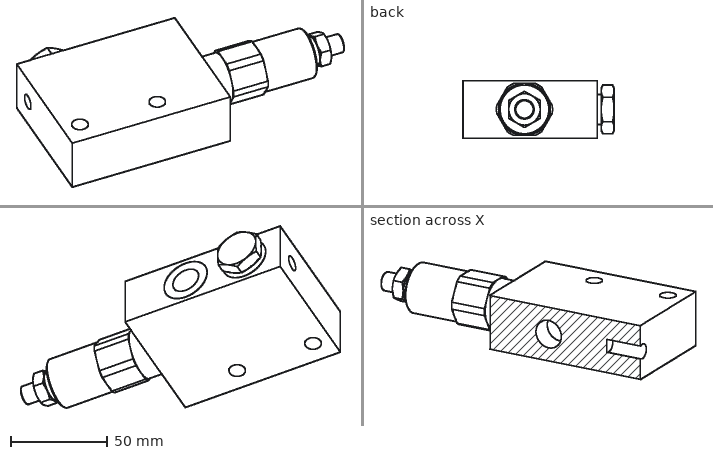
import cadquery as cq
import math

overall_length = 167.7

block_x = 70.0
block_y = 90.2
block_z = 30.0

mount_diameter = 8.5
mount_x = 57.9
mount_y_positions = (9.9, 54.0)

gauge_diameter = 8.0
gauge_x = 14.0
gauge_depth = 20.1

port_diameter = 15.0
port_depth = 23.5
port_y = 55.0
plug_y = 21.0
spotface_diameter = 25.0
spotface_depth = 0.2

plug_reach = 8.7
plug_head_length = 6.7
plug_flats = 22.1
plug_neck_diameter = 15.8
plug_chamfer = 0.8

cartridge_x = 37.9
body_diameter = 27.0
body_chamfer = 0.8
body_end = 58.4
wrench_start = 9.9
wrench_end = 29.5
wrench_flats = 27.0
wrench_round_diameter = 29.2

neck_diameter = 15.0
nut_start = 62.2
nut_end = 68.6
nut_flats = 16.3
nut_chamfer = 0.7
screw_diameter = 10.0
screw_chamfer = 0.5
screw_end = overall_length - block_y


def hexagon(flats, length):
    """Hexagonal prism along +Z with two corners on the local X axis."""
    corners = flats / math.cos(math.pi / 6)
    return cq.Workplane("XY").polygon(6, corners).extrude(length)


def chamfered_hexagon(flats, length, chamfer):
    """Hexagonal prism whose corners are turned down at both ends."""
    radius = flats / math.cos(math.pi / 6) / 2
    envelope = cq.Workplane("XY").circle(radius).extrude(length)
    envelope = envelope.faces("<Z or >Z").chamfer(chamfer, radius - flats / 2)
    return hexagon(flats, length).intersect(envelope)


def rod(diameter, length):
    return cq.Workplane("XY").circle(diameter / 2).extrude(length)


def make_block():
    block = cq.Workplane("XY").box(block_x, block_y, block_z, centered=(False, False, True))
    for y in mount_y_positions:
        hole = rod(mount_diameter, block_z).translate((mount_x, y, -block_z / 2))
        block = block.cut(hole)
    for y in (port_y, plug_y):
        block = block.cut(along_x(rod(spotface_diameter, spotface_depth), 0, y))
    block = block.cut(along_x(rod(port_diameter, port_depth), 0, port_y))
    gauge_hole = along_y(rod(gauge_diameter, gauge_depth), gauge_x, 0)
    return block.cut(gauge_hole)


def along_x(shape, x, y):
    """Turn a +Z shape to run along +X; its local X axis becomes vertical."""
    return shape.rotate((0, 0, 0), (0, 1, 0), 90).translate((x, y, 0))


def along_y(shape, x, y):
    """Turn a +Z shape to run along +Y; its local X axis stays horizontal."""
    return shape.rotate((0, 0, 0), (1, 0, 0), -90).translate((x, y, 0))


def make_plug():
    head = chamfered_hexagon(plug_flats, plug_head_length, plug_chamfer)
    neck = rod(plug_neck_diameter, plug_reach + spotface_depth)
    return along_x(head.union(neck), -plug_reach, plug_y)


def make_cartridge():
    body = rod(body_diameter, body_end).faces(">Z").chamfer(body_chamfer)

    wrench_length = wrench_end - wrench_start
    wrench = hexagon(wrench_flats, wrench_length)
    wrench = wrench.intersect(rod(wrench_round_diameter, wrench_length))

    neck = rod(neck_diameter, nut_start)
    nut = chamfered_hexagon(nut_flats, nut_end - nut_start, nut_chamfer)
    nut = nut.rotate((0, 0, 0), (0, 0, 1), 90)
    screw = rod(screw_diameter, screw_end).faces(">Z").chamfer(screw_chamfer)

    cartridge = body.union(wrench.translate((0, 0, wrench_start)))
    cartridge = cartridge.union(neck)
    cartridge = cartridge.union(nut.translate((0, 0, nut_start)))
    cartridge = cartridge.union(screw)
    return along_y(cartridge, cartridge_x, block_y)


result = make_block().union(make_plug()).union(make_cartridge())